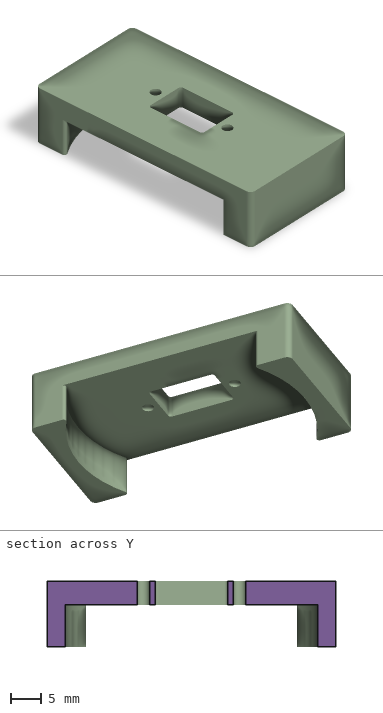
import cadquery as cq

LENGTH = 48.0
WIDTH = 24.0
HEIGHT = 11.0
CORNER_RADIUS = 1.0

PLATE_THICKNESS = 4.0
RECESS_HEIGHT = HEIGHT - PLATE_THICKNESS
RECESS_RADIUS = 20.9
LEG_EDGE_RADIUS = 0.5

WINDOW_LENGTH = 12.0
WINDOW_WIDTH = 8.0
WINDOW_CORNER_RADIUS = 0.5
HOLE_DIAMETER = 2.0
HOLE_SPACING = 16.0


def rounded_block(length, width, height, corner_radius):
    """Upright block on Z = 0 with rounded vertical edges."""
    block = cq.Workplane("XY").box(length, width, height, centered=(True, True, False))
    return block.edges("|Z").fillet(corner_radius)


def cut_recess(body):
    """Cut the round recess that leaves a leg with a hollowed inner face at each end."""
    recess = cq.Workplane("XY").circle(RECESS_RADIUS).extrude(RECESS_HEIGHT)
    return body.cut(recess)


def round_leg_edges(body):
    """Round the four upright edges where the recess breaks through the front and back."""
    half_opening = (RECESS_RADIUS**2 - (WIDTH / 2) ** 2) ** 0.5
    for x in (-half_opening, half_opening):
        for y in (-WIDTH / 2, WIDTH / 2):
            edge = cq.selectors.NearestToPointSelector((x, y, RECESS_HEIGHT / 2))
            body = body.edges("|Z").edges(edge).fillet(LEG_EDGE_RADIUS)
    return body


def cut_window(body):
    """Cut the rectangular window through the plate."""
    window = rounded_block(WINDOW_LENGTH, WINDOW_WIDTH, HEIGHT, WINDOW_CORNER_RADIUS)
    return body.cut(window)


def cut_screw_holes(body):
    """Drill the two screw holes through the plate."""
    centres = [(-HOLE_SPACING / 2, 0), (HOLE_SPACING / 2, 0)]
    holes = cq.Workplane("XY").pushPoints(centres).circle(HOLE_DIAMETER / 2).extrude(HEIGHT)
    return body.cut(holes)


result = rounded_block(LENGTH, WIDTH, HEIGHT, CORNER_RADIUS)
result = cut_recess(result)
result = round_leg_edges(result)
result = cut_window(result)
result = cut_screw_holes(result)